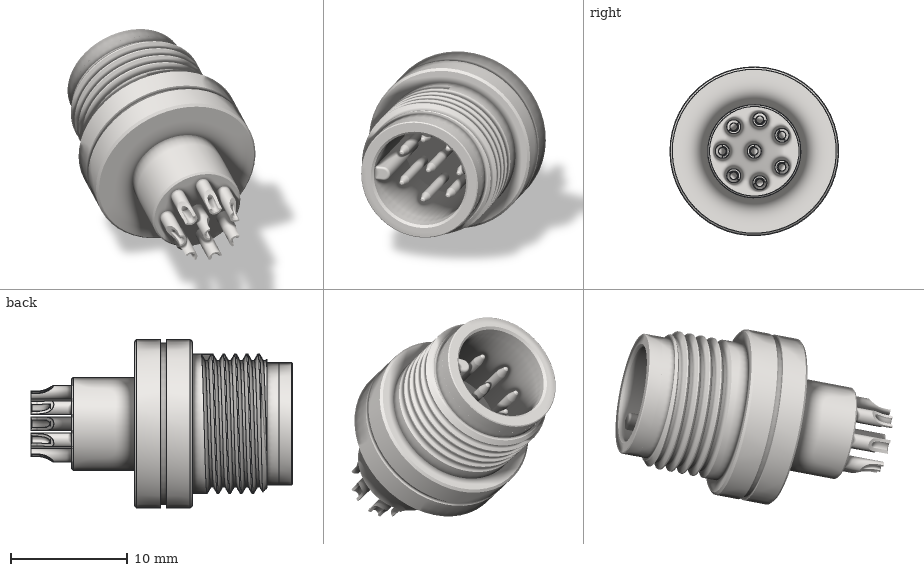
import cadquery as cq
import math


mating_face = 0.0
housing_front = 1.15
thread_front = 2.2
flange_front = 8.6
flange_back = 13.6
insert_back = 19.0
pin_back = 22.5
socket_floor = 9.0

housing_turn = 4.5
nose_radius = 5.25
thread_radius = 6.0
thread_root_radius = 5.45
thread_pitch = 1.0
thread_end = 7.43
thread_turns = 6
root_flat = 0.25
flank_angle = 30.0
cutter_overshoot = 0.03
thread_lead_in = 0.5
flange_radius = 7.25
flange_chamfer = 0.2
ring_groove_front = 10.85
ring_groove_width = 0.5
ring_groove_radius = 6.95

sleeve_radius = 4.8
sleeve_back = 10.0
stem_radius = 4.0
stem_chamfer = 0.15
rim_chamfer = 0.08
socket_radius = 4.15
socket_chamfer = 0.2
key_width = 1.2
key_tip = 2.85
key_front = 0.55
key_rounding = 0.2

pin_circle_radius = 2.75
first_pin_angle = 30.0
pin_spacing_angle = 50.0
ring_pin_count = 7
pin_front = 2.5
contact_radius = 0.4
contact_tip_radius = 0.2
contact_taper = 1.0
contact_tip_rounding = 0.1
pin_shoulder = 14.0
cup_radius = 0.6
cup_bore_radius = 0.325
cup_countersink = 0.1
countersink_half_angle = 45.0
cup_bore_depth = 1.7
scoop_radius = 2.0
scoop_lip = 0.54


def cylinder(front, back, radius):
    """Solid cylinder on the X axis between two stations."""
    return cq.Workplane("YZ", origin=(front, 0, 0)).circle(radius).extrude(back - front)


def thread_groove():
    """Helical V groove, open at the front and ending square at the back."""
    cutter_radius = thread_radius + cutter_overshoot
    half_root = root_flat / 2
    half_mouth = half_root + (cutter_radius - thread_root_radius) * math.tan(math.radians(flank_angle))
    length = thread_turns * thread_pitch
    path = cq.Wire.makeHelix(thread_pitch, length, thread_root_radius)
    groove = (
        cq.Workplane("XZ")
        .moveTo(thread_root_radius, -half_root)
        .lineTo(cutter_radius, -half_mouth)
        .lineTo(cutter_radius, half_mouth)
        .lineTo(thread_root_radius, half_root)
        .close()
        .sweep(cq.Workplane(obj=path), isFrenet=True)
    )
    along_x = groove.rotate((0, 0, 0), (0, 1, 0), 90)
    return along_x.rotate((0, 0, 0), (1, 0, 0), 180).translate((thread_end - length, 0, 0))


def make_housing():
    """Threaded shell with a grooved flange, bored to fit the insert."""
    nose = cylinder(housing_front, thread_front, nose_radius)
    barrel = cylinder(thread_front, flange_front, thread_radius).faces("<X").chamfer(thread_lead_in)
    barrel = barrel.cut(thread_groove())
    flange = cylinder(flange_front, flange_back, flange_radius).faces("<X or >X").chamfer(flange_chamfer)
    ring_groove_back = ring_groove_front + ring_groove_width
    ring_groove = cylinder(ring_groove_front, ring_groove_back, flange_radius).cut(
        cylinder(ring_groove_front, ring_groove_back, ring_groove_radius)
    )
    bore = cylinder(housing_front, sleeve_back, sleeve_radius).union(
        cylinder(sleeve_back, flange_back, stem_radius)
    )
    housing = nose.union(barrel).union(flange).cut(ring_groove).cut(bore)
    return housing.rotate((0, 0, 0), (1, 0, 0), housing_turn)


def make_key():
    """Round-nosed coding rib on the +Y wall of the socket."""
    half = key_width / 2
    root = (socket_radius + sleeve_radius) / 2
    return (
        cq.Workplane("YZ", origin=(key_front, 0, 0))
        .moveTo(root, -half)
        .lineTo(key_tip + half, -half)
        .threePointArc((key_tip, 0), (key_tip + half, half))
        .lineTo(root, half)
        .close()
        .extrude(socket_floor - key_front)
        .faces("<X")
        .fillet(key_rounding)
    )


def make_insert(pins):
    """Socket insert with its coding rib and a fitted hole for every pin."""
    rim = cylinder(mating_face, housing_front, nose_radius).faces("<X").chamfer(rim_chamfer)
    sleeve = cylinder(housing_front, sleeve_back, sleeve_radius)
    stem = cylinder(sleeve_back, insert_back, stem_radius).faces(">X").chamfer(stem_chamfer)
    socket = cylinder(mating_face, socket_floor, socket_radius)
    insert = rim.union(sleeve).union(stem).cut(socket)
    socket_mouth = cq.selectors.RadiusNthSelector(0)
    insert = insert.faces("<X").edges(socket_mouth).chamfer(socket_chamfer)
    insert = insert.union(make_key())
    for pin in pins:
        insert = insert.cut(pin)
    return insert


def make_pin():
    """Pin on the X axis with a tapered contact and a solder cup open toward +Y."""
    taper_back = pin_front + contact_taper
    pin = (
        cq.Workplane("XY")
        .moveTo(pin_front, 0)
        .lineTo(pin_front, contact_tip_radius - contact_tip_rounding)
        .lineTo(pin_front + contact_tip_rounding, contact_tip_radius)
        .lineTo(taper_back, contact_radius)
        .lineTo(pin_shoulder, contact_radius)
        .lineTo(pin_shoulder, cup_radius)
        .lineTo(pin_back, cup_radius)
        .lineTo(pin_back, 0)
        .close()
        .revolve(360, (0, 0, 0), (1, 0, 0))
    )
    cup_bore = cylinder(pin_back - cup_bore_depth, pin_back, cup_bore_radius)
    mouth_radius = cup_bore_radius + cup_countersink
    mouth = cq.Workplane("YZ", origin=(pin_back, 0, 0)).circle(mouth_radius)
    countersink = mouth.extrude(-cup_countersink, taper=countersink_half_angle)
    lip_front = pin_back - scoop_lip
    scoop_center = cq.Workplane("XY", origin=(lip_front, scoop_radius, -cup_radius))
    scoop = scoop_center.circle(scoop_radius).extrude(2 * cup_radius)
    lip_cut = cq.Workplane("XY", origin=(lip_front, 0, 0)).box(
        scoop_lip, cup_radius, 2 * cup_radius, centered=(False, False, True)
    )
    return pin.cut(cup_bore).cut(countersink).cut(scoop).cut(lip_cut)


def place_pins():
    """Centre pin plus the ring of pins, whose cups open away from the connector axis."""
    center_pin = make_pin()
    ring_pin = center_pin.translate((0, pin_circle_radius, 0))
    pins = [center_pin]
    for index in range(ring_pin_count):
        angle = first_pin_angle + index * pin_spacing_angle
        pins.append(ring_pin.rotate((0, 0, 0), (1, 0, 0), angle))
    return pins


pins = place_pins()
insert = make_insert(pins)
housing = make_housing()

result = cq.Compound.makeCompound([housing.val(), insert.val(), *[pin.val() for pin in pins]])